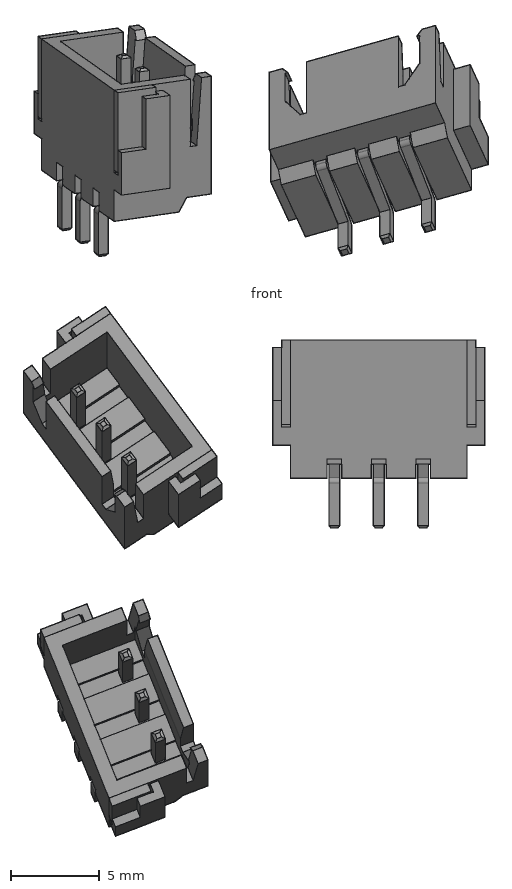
import cadquery as cq
import math


HOUSING_LENGTH = 9.95
HOUSING_DEPTH = 6.0
HOUSING_HEIGHT = 7.8
WALL = 0.8
FLOOR_TOP = 1.8
REAR_STEP_HEIGHT = 0.8
REAR_STEP_TOP_Y = 4.48
REAR_STEP_BOTTOM_Y = 4.0
CAVITY_HALF_LENGTH = HOUSING_LENGTH / 2 - WALL
CAVITY_BACK_Y = HOUSING_DEPTH - WALL

LATCH_GAP_FLOOR = HOUSING_HEIGHT - 4.0
LATCH_GAP_FRONT_Y = 4.7
LATCH_TOP_THICKNESS = 0.6
LATCH_ROOT_THICKNESS = 0.9

REAR_PANEL_HALF_LENGTH = 2.75
NOTCH_FLOOR = HOUSING_HEIGHT - 4.6
NOTCH_SLOPE_TOP = HOUSING_HEIGHT - 3.0
NOTCH_FLAT_WIDTH = 0.38
LATCH_WIDTH = 0.95
HOOK_REACH = 0.32
HOOK_DROP = 0.5

BRACKET_REACH = 1.0
BRACKET_DEPTH = 3.0
BRACKET_BOTTOM = 1.87
BRACKET_TOP = HOUSING_HEIGHT - 0.42
BRACKET_CUTAWAY_Y = 1.5
BRACKET_CUTAWAY_Z = HOUSING_HEIGHT - 3.41
TAB_SLOT_WIDTH = BRACKET_REACH / 2
TAB_SLOT_DEPTH = 2.5
TAB_SLOT_FLOOR = 2.9

TAB_DEPTH = 2.35
TAB_BOTTOM = TAB_SLOT_FLOOR + 0.13

PIN_COUNT = 3
PIN_PITCH = 2.5
PIN_SIZE = 0.62
PIN_CENTER_Y = 3.97
PIN_TOP = HOUSING_HEIGHT - 0.73
PIN_BOTTOM = HOUSING_HEIGHT - 10.6
CONTACT_TIP_HEIGHT = 0.12
CONTACT_TIP_INSET = 0.17
LEG_TIP_HEIGHT = 0.15
LEG_TIP_INSET = 0.12
PIN_HEEL_Z = -0.5
PIN_ARM_ANGLE = 12.4
PIN_BEND_RADIUS = 0.3

FLOOR_GROOVE_WIDTH = 0.9
FLOOR_GROOVE_DEPTH = 0.3
PIN_CHANNEL_WIDTH = 0.82
PIN_CHANNEL_HEIGHT = 1.1

OVERALL_LENGTH = HOUSING_LENGTH + 2 * BRACKET_REACH
PIN_POSITIONS = [(i - (PIN_COUNT - 1) / 2) * PIN_PITCH for i in range(PIN_COUNT)]


def box(x_range, y_range, z_range):
    """Box given by its lower and upper limit along each axis."""
    limits = (x_range, y_range, z_range)
    size = [high - low for low, high in limits]
    corner = cq.Vector(*[low for low, high in limits])
    return cq.Workplane(cq.Solid.makeBox(*size, pnt=corner))


def side_profile(points, length):
    """Prism centred on X = 0 with a (Y, Z) outline."""
    return cq.Workplane("YZ").polyline(points).close().extrude(length / 2, both=True)


def mirrored(body):
    """The same body on the opposite end of the connector."""
    return body.mirror("YZ")


def make_shell():
    """Open-topped box with a stepped underside at the rear."""
    outline = [
        (0, 0),
        (REAR_STEP_BOTTOM_Y, 0),
        (REAR_STEP_TOP_Y, REAR_STEP_HEIGHT),
        (HOUSING_DEPTH, REAR_STEP_HEIGHT),
        (HOUSING_DEPTH, HOUSING_HEIGHT),
        (0, HOUSING_HEIGHT),
    ]
    cavity = box(
        (-CAVITY_HALF_LENGTH, CAVITY_HALF_LENGTH),
        (WALL, CAVITY_BACK_Y),
        (FLOOR_TOP, HOUSING_HEIGHT),
    )
    return side_profile(outline, HOUSING_LENGTH).cut(cavity)


def make_latch_gap():
    """Tapered gap behind the end walls; it also thins the rear wall toward the top."""
    outline = [
        (LATCH_GAP_FRONT_Y, LATCH_GAP_FLOOR),
        (HOUSING_DEPTH - LATCH_ROOT_THICKNESS, LATCH_GAP_FLOOR),
        (HOUSING_DEPTH - LATCH_TOP_THICKNESS, HOUSING_HEIGHT),
        (LATCH_GAP_FRONT_Y, HOUSING_HEIGHT),
    ]
    return side_profile(outline, HOUSING_LENGTH)


def make_rear_notch():
    """Notch between the rear panel and the right latch, leaving the latch hook."""
    latch_face_x = HOUSING_LENGTH / 2 - LATCH_WIDTH
    hook_tip_x = CAVITY_HALF_LENGTH - HOOK_REACH
    hook_tip_z = HOUSING_HEIGHT - HOOK_DROP
    outline = [
        (REAR_PANEL_HALF_LENGTH, HOUSING_HEIGHT),
        (REAR_PANEL_HALF_LENGTH, NOTCH_FLOOR),
        (REAR_PANEL_HALF_LENGTH + NOTCH_FLAT_WIDTH, NOTCH_FLOOR),
        (latch_face_x, NOTCH_SLOPE_TOP),
        (latch_face_x, hook_tip_z),
        (hook_tip_x, hook_tip_z),
        (CAVITY_HALF_LENGTH, HOUSING_HEIGHT),
    ]
    rear_plane = cq.Workplane("XZ", origin=(0, HOUSING_DEPTH, 0))
    return rear_plane.polyline(outline).close().extrude(WALL)


def make_bracket():
    """Right-hand side bracket with the slot that holds a retention tab."""
    inner_x = HOUSING_LENGTH / 2
    outer_x = OVERALL_LENGTH / 2
    block = box((inner_x, outer_x), (0, BRACKET_DEPTH), (BRACKET_BOTTOM, BRACKET_TOP))
    cutaway = box((inner_x, outer_x), (0, BRACKET_CUTAWAY_Y), (BRACKET_CUTAWAY_Z, BRACKET_TOP))
    slot = box(
        (inner_x, inner_x + TAB_SLOT_WIDTH),
        (0, TAB_SLOT_DEPTH),
        (TAB_SLOT_FLOOR, BRACKET_TOP),
    )
    return block.cut(cutaway).cut(slot)


def make_floor_groove(x):
    """Shallow groove across the cavity floor at one pin."""
    half_width = FLOOR_GROOVE_WIDTH / 2
    return box(
        (x - half_width, x + half_width),
        (WALL, CAVITY_BACK_Y),
        (FLOOR_TOP - FLOOR_GROOVE_DEPTH, FLOOR_TOP),
    )


def make_pin_channel(x):
    """Channel under one pin, deep ahead of the contact and level with the rear step behind it."""
    half_width = PIN_CHANNEL_WIDTH / 2
    x_range = (x - half_width, x + half_width)
    front = box(x_range, (0, PIN_CENTER_Y - PIN_SIZE / 2), (0, PIN_CHANNEL_HEIGHT))
    rear = box(x_range, (0, REAR_STEP_TOP_Y), (0, REAR_STEP_HEIGHT))
    return front.union(rear)


def make_pin_tip(y, base_z, tip_z, inset):
    """Tapered square tip from base_z to tip_z."""
    tip_size = PIN_SIZE - 2 * inset
    base = cq.Workplane("XY", origin=(0, y, base_z)).rect(PIN_SIZE, PIN_SIZE)
    return base.workplane(offset=tip_z - base_z).rect(tip_size, tip_size).loft(ruled=True)


def make_pin(x):
    """Square pin: upright contact, sloping arm under the housing, and front leg."""
    slope = math.tan(math.radians(PIN_ARM_ANGLE))
    arm_rise = PIN_SIZE / math.cos(math.radians(PIN_ARM_ANGLE))
    contact_front_y = PIN_CENTER_Y - PIN_SIZE / 2
    contact_back_y = PIN_CENTER_Y + PIN_SIZE / 2
    contact_top = PIN_TOP - CONTACT_TIP_HEIGHT
    leg_bottom = PIN_BOTTOM + LEG_TIP_HEIGHT

    def arm_underside(y):
        return PIN_HEEL_Z + slope * (y - PIN_SIZE)

    outline = [
        (0, leg_bottom),
        (PIN_SIZE, leg_bottom),
        (PIN_SIZE, PIN_HEEL_Z),
        (contact_back_y, arm_underside(contact_back_y)),
        (contact_back_y, contact_top),
        (contact_front_y, contact_top),
        (contact_front_y, arm_underside(contact_front_y) + arm_rise),
        (0, arm_underside(0) + arm_rise),
    ]
    front_bend = cq.selectors.NearestToPointSelector((0, 0, arm_underside(0) + arm_rise))
    rear_bend = cq.selectors.NearestToPointSelector(
        (0, contact_back_y, arm_underside(contact_back_y))
    )
    pin = side_profile(outline, PIN_SIZE)
    pin = pin.edges("|X").edges(front_bend).fillet(PIN_BEND_RADIUS)
    pin = pin.edges("|X").edges(rear_bend).fillet(PIN_BEND_RADIUS)
    pin = pin.union(make_pin_tip(PIN_CENTER_Y, contact_top, PIN_TOP, CONTACT_TIP_INSET))
    pin = pin.union(make_pin_tip(PIN_SIZE / 2, leg_bottom, PIN_BOTTOM, LEG_TIP_INSET))
    return pin.translate((x, 0, 0))


def make_housing():
    """Housing with its brackets and latches, formed in one piece with the pins."""
    body = make_shell().cut(make_latch_gap())
    notch = make_rear_notch()
    bracket = make_bracket()
    body = body.cut(notch).cut(mirrored(notch))
    body = body.union(bracket).union(mirrored(bracket))
    for x in PIN_POSITIONS:
        body = body.cut(make_floor_groove(x)).cut(make_pin_channel(x))
    for x in PIN_POSITIONS:
        body = body.union(make_pin(x))
    return body.solids()


def make_tab():
    """Right-hand retention tab, a flat plate standing in the bracket slot."""
    inner_x = HOUSING_LENGTH / 2
    return box(
        (inner_x, inner_x + TAB_SLOT_WIDTH),
        (0, TAB_DEPTH),
        (TAB_BOTTOM, HOUSING_HEIGHT),
    )


housing = make_housing()
right_tab = make_tab()
tabs = [right_tab, mirrored(right_tab)]

result = cq.Compound.makeCompound([housing.val(), *[tab.val() for tab in tabs]])